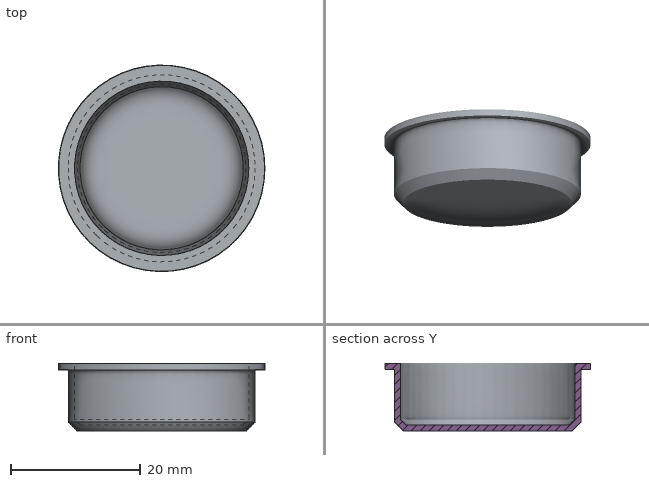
import cadquery as cq
import math

flange_diameter = 32.0
body_diameter = 29.0
total_height = 10.5
flange_thickness = 1.0
wall = 1.0
outer_chamfer = 1.45

cavity_diameter = body_diameter - 2 * wall
inner_chamfer = outer_chamfer - wall * (2 - math.sqrt(2))


def chamfered_cylinder(diameter, bottom, top, chamfer):
    """Upright cylinder with a chamfer around its bottom edge."""
    cylinder = cq.Workplane("XY").workplane(offset=bottom).circle(diameter / 2).extrude(top - bottom)
    return cylinder.faces("<Z").edges().chamfer(chamfer)


body = chamfered_cylinder(body_diameter, 0, total_height, outer_chamfer)

flange = (
    cq.Workplane("XY")
    .workplane(offset=total_height - flange_thickness)
    .circle(flange_diameter / 2)
    .extrude(flange_thickness)
)

cavity = chamfered_cylinder(cavity_diameter, wall, total_height, inner_chamfer)

result = body.union(flange).cut(cavity)